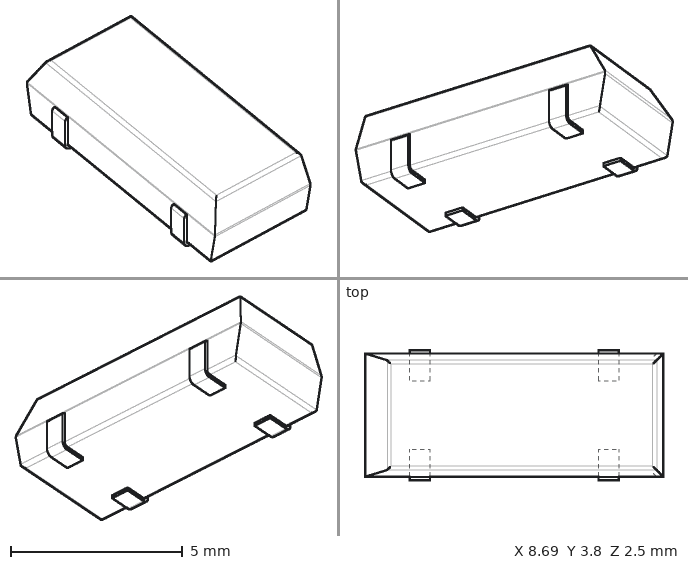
import cadquery as cq
import math

length = 8.69
overall_width = 3.8
overall_height = 2.5
body_width = 3.6
parting_height = 1.3
draft_angle = 10.0
nose_angle = 30.0
rim_radius = 0.12
parting_radius = 0.2

lead_width = 0.6
lead_spacing = 5.5
lead_height = 1.24
foot_length = 0.9
lead_tip_radius = 0.095

lead_thickness = (overall_width - body_width) / 2
inner_bend_radius = lead_thickness
outer_bend_radius = inner_bend_radius + lead_thickness
body_bottom = lead_thickness
upper_height = overall_height - parting_height
lower_height = parting_height - body_bottom


def lean(height, angle):
    """Horizontal run of a wall of the given height, sloped by angle from vertical."""
    return height * math.tan(math.radians(angle))


def rounding_loss(upper_angle, lower_angle):
    """Horizontal length that rounding takes off the sharp corner between two sloped walls."""
    half_turn = math.radians((upper_angle + lower_angle) / 2)
    bisector = math.radians((upper_angle - lower_angle) / 2)
    return parting_radius * (math.cos(bisector) / math.cos(half_turn) - 1)


def round_edges(prism, direction):
    """Round the top, bottom and parting edges that run along the given axis."""
    prism = prism.edges(f"{direction} and (<Z or >Z)").fillet(rim_radius)
    middle = cq.selectors.BoxSelector(
        (-length, -length, parting_height - lead_thickness),
        (length, length, parting_height + lead_thickness),
    )
    return prism.edges(middle).edges(direction).fillet(parting_radius)


def make_side_prism():
    """Housing outline along X, extruded across Y."""
    left = -length / 2 - rounding_loss(nose_angle, draft_angle)
    right = length / 2 + rounding_loss(draft_angle, draft_angle)
    outline = [
        (left + lean(lower_height, draft_angle), body_bottom),
        (right - lean(lower_height, draft_angle), body_bottom),
        (right, parting_height),
        (right - lean(upper_height, draft_angle), overall_height),
        (left + lean(upper_height, nose_angle), overall_height),
        (left, parting_height),
    ]
    prism = cq.Workplane("XZ").polyline(outline).close().extrude(overall_width / 2, both=True)
    return round_edges(prism, "|Y")


def make_end_prism():
    """Housing outline across Y, extruded along X."""
    half = body_width / 2
    half_top = half - lean(upper_height, draft_angle)
    outline = [
        (-half, body_bottom),
        (half, body_bottom),
        (half, parting_height),
        (half_top, overall_height),
        (-half_top, overall_height),
        (-half, parting_height),
    ]
    prism = cq.Workplane("YZ").polyline(outline).close().extrude(length, both=True)
    return round_edges(prism, "|X")


def make_housing():
    return make_side_prism().intersect(make_end_prism())


def make_lead(center_x, side):
    """L-shaped lead on the +Y (side = 1) or -Y (side = -1) wall, wrapped under the housing."""
    outer = overall_width / 2
    inner = outer - lead_thickness
    lead = (
        cq.Workplane("YZ", origin=(center_x, 0, 0))
        .moveTo(outer - foot_length, 0)
        .lineTo(outer - outer_bend_radius, 0)
        .radiusArc((outer, outer_bend_radius), -outer_bend_radius)
        .lineTo(outer, lead_height - lead_tip_radius)
        .radiusArc((outer - lead_tip_radius, lead_height), -lead_tip_radius)
        .lineTo(inner, lead_height)
        .lineTo(inner, body_bottom + inner_bend_radius)
        .radiusArc((inner - inner_bend_radius, body_bottom), inner_bend_radius)
        .lineTo(outer - foot_length, body_bottom)
        .close()
        .extrude(lead_width / 2, both=True)
    )
    return lead if side > 0 else lead.mirror("XZ")


housing = make_housing()
leads = [
    make_lead(center_x, side)
    for center_x in (-lead_spacing / 2, lead_spacing / 2)
    for side in (-1, 1)
]

result = cq.Compound.makeCompound([housing.solids().val(), *[lead.solids().val() for lead in leads]])